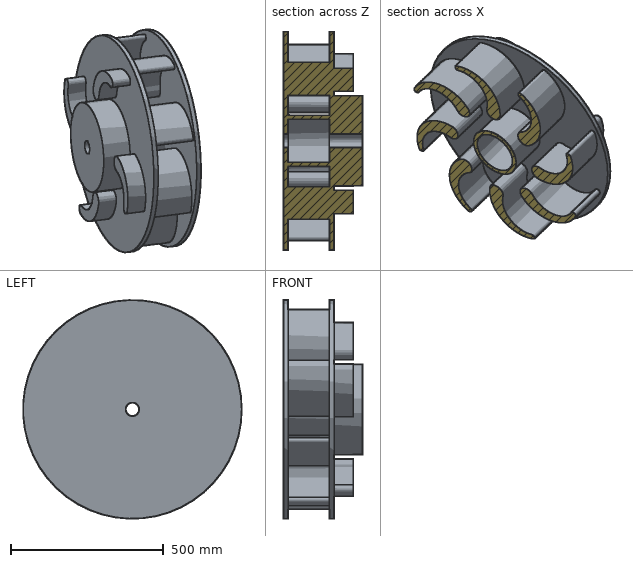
import cadquery as cq
import math

disc_thickness = 15.6
vane_width = 134.9
rear_vane_width = 62.3
overall_length = 259.11
rear_disc_x = disc_thickness + vane_width
rear_face_x = rear_disc_x + disc_thickness
hub_length = overall_length - rear_face_x

disc_radius = 715.16 / 2
hub_radius = 147.5
drum_radius = 84.0
drum_wall = 14.0
drum_fillet = 4.5
bore_radius = 21.5

vane_count = 8
vane_arc_radius = 130.0
vane_pitch_radius = 214.0
vane_pitch_angle = 75.3
vane_tip_radius = 10.0
vane_root_radius = 28.0
vane_tip_angle = 66.0
vane_root_angle = -50.0

rear_vane_count = 4
rear_arc_radius = 124.0
rear_pitch_radius = 187.0
rear_pitch_angle = 120.9
rear_tip_radius = 16.0
rear_root_radius = 26.0
rear_tip_angle = 110.0
rear_root_angle = 16.0


def section_plane(x):
    """Cross-section plane at X = x: local x points to -Y, local y to +Z."""
    return cq.Workplane(cq.Plane(origin=(x, 0, 0), xDir=(0, -1, 0), normal=(-1, 0, 0)))


def polar(radius, angle, center=(0, 0)):
    """Point at a radius and an angle in degrees about a centre."""
    a = math.radians(angle)
    return (center[0] + radius * math.cos(a), center[1] + radius * math.sin(a))


def cylinder(x, radius, length):
    """Cylinder on the rotor axis, from X = x towards +X."""
    return section_plane(x).circle(radius).extrude(-length)


def curved_vane(x, width, center, arc_radius, tip, root):
    """Curved vane; tip and root are (angle, end radius), with the root clockwise of the tip."""
    tip_angle, tip_radius = tip
    root_angle, root_radius = root
    middle_angle = (tip_angle + root_angle) / 2
    middle_thickness = tip_radius + root_radius

    tip_outer = polar(arc_radius, tip_angle, center)
    tip_center = polar(arc_radius - tip_radius, tip_angle, center)
    tip_inner = polar(arc_radius - 2 * tip_radius, tip_angle, center)
    root_outer = polar(arc_radius, root_angle, center)
    root_center = polar(arc_radius - root_radius, root_angle, center)
    root_inner = polar(arc_radius - 2 * root_radius, root_angle, center)
    middle_outer = polar(arc_radius, middle_angle, center)
    middle_inner = polar(arc_radius - middle_thickness, middle_angle, center)

    return (
        section_plane(x)
        .moveTo(*tip_outer)
        .threePointArc(middle_outer, root_outer)
        .threePointArc(polar(root_radius, root_angle - 90, root_center), root_inner)
        .threePointArc(middle_inner, tip_inner)
        .threePointArc(polar(tip_radius, tip_angle + 90, tip_center), tip_outer)
        .close()
        .extrude(-width)
    )


def ring_of(vane, count):
    """Copies of a vane spaced evenly about the rotor axis."""
    vanes = vane
    for i in range(1, count):
        vanes = vanes.union(vane.rotate((0, 0, 0), (1, 0, 0), i * 360 / count))
    return vanes


def drum():
    """Hollow drum joining the discs, filleted into the front disc."""
    bore = drum_radius - drum_wall
    half_section = (
        cq.Workplane("XY")
        .moveTo(disc_thickness, bore)
        .lineTo(disc_thickness, drum_radius + drum_fillet)
        .radiusArc((disc_thickness + drum_fillet, drum_radius), -drum_fillet)
        .lineTo(rear_disc_x, drum_radius)
        .lineTo(rear_disc_x, bore)
        .close()
    )
    return half_section.revolve(360, (0, 0, 0), (1, 0, 0))


main_vane = curved_vane(
    disc_thickness,
    vane_width,
    polar(vane_pitch_radius, vane_pitch_angle),
    vane_arc_radius,
    (vane_tip_angle, vane_tip_radius),
    (vane_root_angle, vane_root_radius),
)
rear_vane = curved_vane(
    rear_face_x,
    rear_vane_width,
    polar(rear_pitch_radius, rear_pitch_angle),
    rear_arc_radius,
    (rear_tip_angle, rear_tip_radius),
    (rear_root_angle, rear_root_radius),
)

result = (
    cylinder(0, disc_radius, disc_thickness)
    .union(drum())
    .union(cylinder(rear_disc_x, disc_radius, disc_thickness))
    .union(cylinder(rear_face_x, hub_radius, hub_length))
    .union(ring_of(main_vane, vane_count))
    .union(ring_of(rear_vane, rear_vane_count))
    .cut(cylinder(0, bore_radius, overall_length))
)